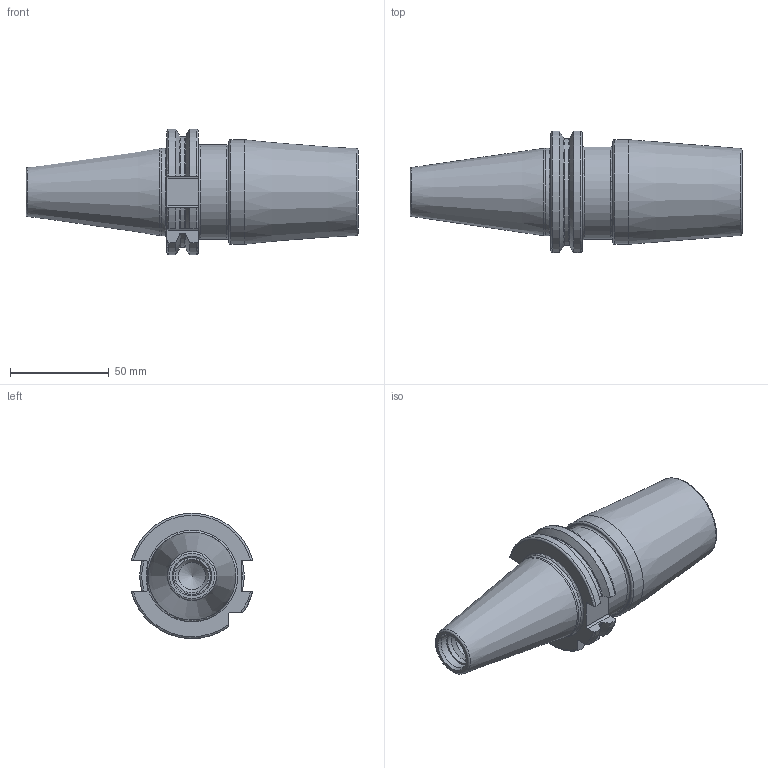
import cadquery as cq
import math

taper_length = 68.25
nose_length = 100.0

gauge_radius = 44.45 / 2
taper_per_length = 7 / 24 / 2
taper_end_radius = gauge_radius - taper_per_length * taper_length
taper_blend_radius = 7.0

flange_radius = 63.55 / 2
flange_start = 3.2
flange_end = 19.1
groove_center = (flange_start + flange_end) / 2
groove_floor_radius = 28.1
groove_half_width = 3.5
groove_half_angle = 30.0
groove_corner_radius = 0.5

neck_radius = 24.0
collar_radius = 53.0 / 2
collar_start = 34.6
collar_end = 42.5
nose_half_angle = 4.5
nose_radius = collar_radius - (nose_length - collar_end) * math.tan(math.radians(nose_half_angle))

edge_radius = 1.0

slot_width = 16.1
shallow_slot_offset = 25.0
deep_slot_offset = 22.6
notch_offset = 18.5
cutout_corner_radius = 1.0
cutter_reach = 2 * flange_radius

mouth_radius = 10.0
counterbore_radius = 9.4
pilot_radius = 8.5
thread_radius = 7.0
mouth_depth = 1.7
counterbore_depth = 5.5
pilot_depth = 8.0
thread_start_depth = 9.8
thread_end_depth = 40.0
drill_tip_half_angle = 59.0


def revolve_about_x(points):
    """Turn a closed (x, radius) outline about the X axis."""
    return cq.Workplane("XY").polyline(points).close().revolve(360, (0, 0, 0), (1, 0, 0))


def circles_at(body, places):
    """Pick the full circular edges lying at the given (x, radius) places."""
    tolerance = 1e-3
    edges = []
    for edge in body.edges("%CIRCLE").vals():
        center = edge.arcCenter()
        for x, radius in places:
            if abs(center.x - x) < tolerance and abs(edge.radius() - radius) < tolerance:
                edges.append(edge)
    return body.newObject(edges)


def make_body():
    """Turned outside: taper, flange, neck, collar and conical nose."""
    groove_slope = (flange_radius - groove_floor_radius) * math.tan(math.radians(groove_half_angle))
    floor_half_width = groove_half_width - groove_slope
    body = revolve_about_x([
        (-taper_length, 0),
        (-taper_length, taper_end_radius),
        (0, gauge_radius),
        (flange_start, gauge_radius),
        (flange_start, flange_radius),
        (groove_center - groove_half_width, flange_radius),
        (groove_center - floor_half_width, groove_floor_radius),
        (groove_center + floor_half_width, groove_floor_radius),
        (groove_center + groove_half_width, flange_radius),
        (flange_end, flange_radius),
        (flange_end, neck_radius),
        (collar_start, neck_radius),
        (collar_start, collar_radius),
        (collar_end, collar_radius),
        (nose_length, nose_radius),
        (nose_length, 0),
    ])
    body = circles_at(body, [(0, gauge_radius)]).fillet(taper_blend_radius)
    groove_corners = [
        (groove_center - floor_half_width, groove_floor_radius),
        (groove_center + floor_half_width, groove_floor_radius),
    ]
    body = circles_at(body, groove_corners).fillet(groove_corner_radius)
    rounded_edges = [
        (-taper_length, taper_end_radius),
        (flange_start, gauge_radius),
        (flange_start, flange_radius),
        (flange_end, flange_radius),
        (flange_end, neck_radius),
        (collar_start, neck_radius),
        (collar_start, collar_radius),
        (nose_length, nose_radius),
    ]
    return circles_at(body, rounded_edges).fillet(edge_radius)


def make_taper_hole():
    """Stepped blind hole entering the small end of the taper."""
    tip_length = thread_radius / math.tan(math.radians(drill_tip_half_angle))
    steps = [
        (0, 0),
        (0, mouth_radius),
        (mouth_depth, counterbore_radius),
        (counterbore_depth, counterbore_radius),
        (counterbore_depth, pilot_radius),
        (pilot_depth, pilot_radius),
        (thread_start_depth, thread_radius),
        (thread_end_depth, thread_radius),
        (thread_end_depth + tip_length, 0),
    ]
    return revolve_about_x(steps).translate((-taper_length, 0, 0))


def make_drive_slot(floor_offset, side, end_x):
    """Slot cutter open toward +Y (side = 1) or -Y (side = -1), rounded along its floor corners."""
    cutter = (
        cq.Workplane("XY")
        .box(end_x - flange_start, cutter_reach, slot_width, centered=(False, False, True))
        .edges("|X and <Y")
        .fillet(cutout_corner_radius)
        .translate((flange_start, floor_offset, 0))
    )
    return cutter if side > 0 else cutter.mirror("XZ")


def make_notch():
    """Corner cutter taking the lower -Y part of the flange rim."""
    return (
        cq.Workplane("XY")
        .box(flange_end - flange_start, cutter_reach, cutter_reach, centered=False)
        .edges("|X and <Y and <Z")
        .fillet(cutout_corner_radius)
        .translate((flange_start, notch_offset, notch_offset))
        .rotate((0, 0, 0), (1, 0, 0), 180)
    )


result = (
    make_body()
    .cut(make_taper_hole())
    .cut(make_drive_slot(shallow_slot_offset, -1, flange_end))
    .cut(make_drive_slot(deep_slot_offset, 1, collar_start))
    .cut(make_notch())
)